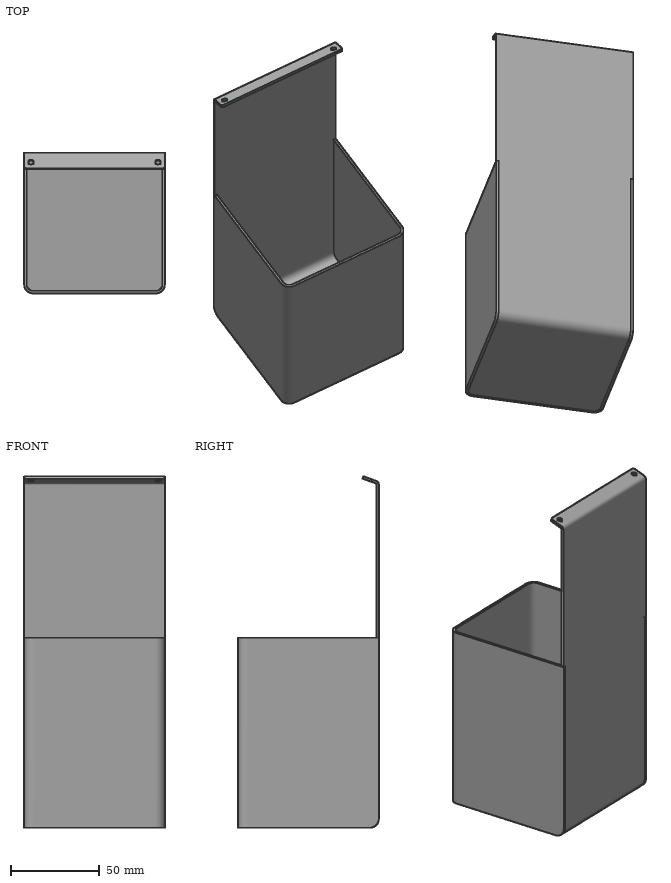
import cadquery as cq
import math

width = 80.0
depth = 80.0
height = 199.7
sheet = 1.5

wall_height = 108.0
corner_radius = 5.4
inner_radius = corner_radius - sheet

lip_angle = math.radians(20)
lip_reach = 9.4
lip_bend_radius = 2.4
lip_corner_radius = 1.2
hole_diameter = 3.0
hole_inset = 4.0
hole_setback = 5.4

back_y = depth / 2
inner_width = width - 2 * sheet
lip_tip_y = back_y - lip_reach
lip_top_y = lip_tip_y + sheet * math.sin(lip_angle)
lip_bottom_z = height - sheet * math.cos(lip_angle)
outer_bend_z = height - (back_y - lip_top_y) * math.tan(lip_angle)
inner_bend_z = lip_bottom_z - (lip_reach - sheet) * math.tan(lip_angle)


def upright_block(block_width, front_y, radius):
    """Block from the back face to front_y with rounded front vertical edges."""
    length = back_y - front_y
    return (
        cq.Workplane("XY")
        .box(block_width, length, wall_height, centered=(True, False, False))
        .translate((0, front_y, 0))
        .edges("|Z and <Y")
        .fillet(radius)
    )


def inner_space():
    """Space enclosed by the wrapped wall."""
    return upright_block(inner_width, -depth / 2 + sheet, inner_radius)


def make_wall():
    """U-shaped wall, open at the back, with rounded rear bottom corners."""
    outer = upright_block(width, -depth / 2, corner_radius)
    outer = outer.edges("|X and >Y and <Z").fillet(corner_radius)
    return outer.cut(inner_space())


def sheet_profile():
    """Constant-thickness side profile of base, back and lip with sharp bends."""
    return (
        cq.Workplane("YZ", origin=(-width / 2, 0, 0))
        .moveTo(-depth / 2, 0)
        .lineTo(back_y, 0)
        .lineTo(back_y, outer_bend_z)
        .lineTo(lip_top_y, height)
        .lineTo(lip_tip_y, lip_bottom_z)
        .lineTo(back_y - sheet, inner_bend_z)
        .lineTo(back_y - sheet, sheet)
        .lineTo(-depth / 2, sheet)
        .close()
    )


def round_bend(body, y, z, radius):
    """Round the edge along X that passes through the point (y, z)."""
    edge = cq.selectors.NearestToPointSelector((0, y, z))
    return body.edges(edge).fillet(radius)


def make_back_sheet():
    """Bent sheet: full width above the wall, fitted inside it below."""
    body = sheet_profile().extrude(width)
    body = round_bend(body, back_y, 0, corner_radius)
    body = round_bend(body, back_y - sheet, sheet, inner_radius)
    body = round_bend(body, back_y, outer_bend_z, lip_bend_radius)
    body = round_bend(body, back_y - sheet, inner_bend_z, lip_bend_radius - sheet)

    above_wall = (
        cq.Workplane("XY", origin=(0, 0, wall_height))
        .box(width, depth, height - wall_height, centered=(True, True, False))
    )
    body = body.intersect(above_wall.union(inner_space()))

    for side in (-1, 1):
        tip = (side * width / 2, (lip_tip_y + lip_top_y) / 2, (height + lip_bottom_z) / 2)
        body = body.edges(cq.selectors.NearestToPointSelector(tip)).fillet(lip_corner_radius)

    hole_z = outer_bend_z + hole_setback * math.tan(lip_angle)
    lip_plane = cq.Plane(
        origin=(0, back_y - hole_setback, hole_z),
        xDir=(1, 0, 0),
        normal=(0, math.sin(lip_angle), math.cos(lip_angle)),
    )
    hole_x = width / 2 - hole_inset
    holes = (
        cq.Workplane(lip_plane)
        .pushPoints([(-hole_x, 0), (hole_x, 0)])
        .circle(hole_diameter / 2)
        .extrude(2 * sheet, both=True)
    )
    return body.cut(holes)


wall = make_wall()
back_sheet = make_back_sheet()

result = cq.Compound.makeCompound([wall.val(), back_sheet.val()])